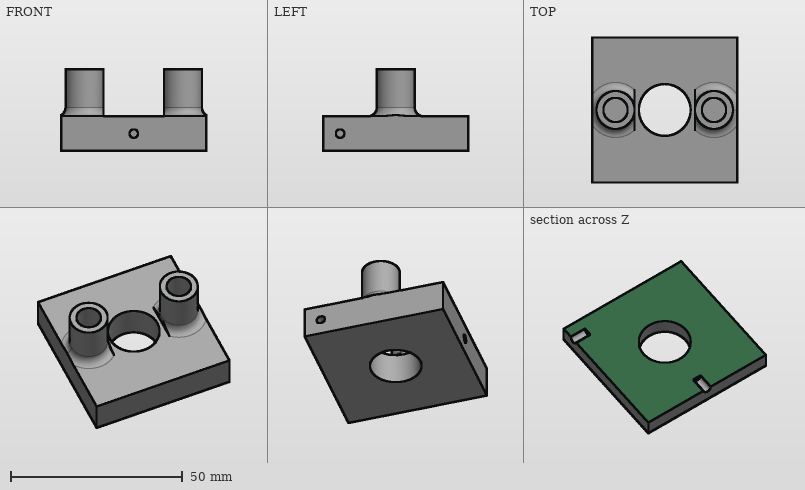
import cadquery as cq

plate_side = 42.3
plate_height = 10.1
total_height = 23.85
center_bore_diameter = 15.0

post_diameter = 11.1
post_bore_diameter = 7.1
post_offset = 14.35
foot_radius = 2.5
post_radius = post_diameter / 2
post_height = total_height - plate_height
post_bore_depth = post_height

pin_diameter = 2.5
pin_depth = 5.08
pin_height = plate_height / 2
side_pin_y = 16.2


def make_post(side):
    """Post on the plate top; side is -1 or +1 along X."""
    foot_rim = post_radius + foot_radius
    foot_top = plate_height + foot_radius
    arc_reach = foot_radius * (1 - 0.5**0.5)
    post = (
        cq.Workplane("XZ")
        .moveTo(0, plate_height)
        .lineTo(foot_rim, plate_height)
        .threePointArc((post_radius + arc_reach, plate_height + arc_reach), (post_radius, foot_top))
        .lineTo(post_radius, total_height)
        .lineTo(0, total_height)
        .close()
        .revolve(360, (0, 0, 0), (0, 1, 0))
        .translate((side * post_offset, 0, 0))
    )
    inner_x = post_offset - post_radius
    outer_x = plate_side / 2
    envelope = (
        cq.Workplane("XY")
        .box(outer_x - inner_x, plate_side, total_height, centered=(True, True, False))
        .translate((side * (inner_x + outer_x) / 2, 0, 0))
    )
    return post.intersect(envelope)


plate = cq.Workplane("XY").box(plate_side, plate_side, plate_height, centered=(True, True, False))
body = plate.union(make_post(-1)).union(make_post(1))

center_bore = cq.Workplane("XY").circle(center_bore_diameter / 2).extrude(plate_height)
post_bores = (
    cq.Workplane("XY", origin=(0, 0, total_height))
    .pushPoints([(-post_offset, 0), (post_offset, 0)])
    .circle(post_bore_diameter / 2)
    .extrude(-post_bore_depth)
)
front_pin_hole = (
    cq.Workplane("XZ", origin=(0, -plate_side / 2, pin_height))
    .circle(pin_diameter / 2)
    .extrude(-pin_depth)
)
side_pin_hole = (
    cq.Workplane("YZ", origin=(-plate_side / 2, side_pin_y, pin_height))
    .circle(pin_diameter / 2)
    .extrude(pin_depth)
)

result = body.cut(center_bore).cut(post_bores).cut(front_pin_hole).cut(side_pin_hole)